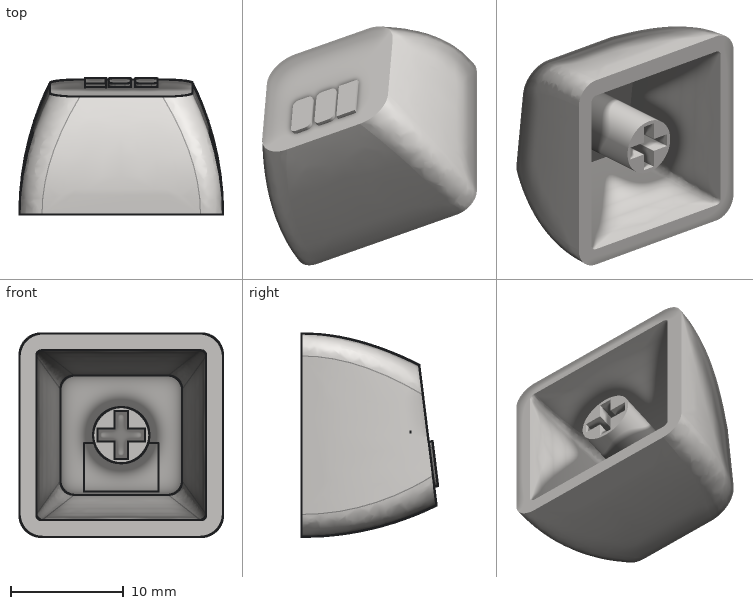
import cadquery as cq
import math

RIM_SIZE = 18.1
RIM_CORNER = 2.01
FACE_WIDTH = 12.67
FACE_LENGTH = 12.56
FACE_CORNER = 2.66
FACE_HEIGHT = 11.24
FACE_TILT = 7.0
WALL = 1.5

MOUTH_SIZE = RIM_SIZE - 2 * WALL
MOUTH_CORNER = RIM_CORNER - WALL
CEILING_WIDTH = 10.8
CEILING_LENGTH = 10.68
CEILING_CORNER = 1.23

STEM_DIAMETER = 5.0
STEM_RECESS = 1.0
CROSS_SPAN = 4.25
CROSS_WIDTH = 1.15
CROSS_DEPTH = 3.98

PLATE_WIDTH = 6.66
PLATE_LENGTH = 4.35
PLATE_CORNER = 0.09
PLATE_THICKNESS = WALL / 2
PLATE_OFFSET = 2.7
BLOCK_LENGTH = 4.02
BLOCK_RISE = 0.35
BLOCK_CORNER = 0.55
BLOCK_OFFSET = 2.59
BLOCKS = [
    (-2.3, 1.85, 0),
    (-0.13, 1.97, BLOCK_CORNER),
    (2.23, 2.0, BLOCK_CORNER),
]

SECTION_COUNT = 4

tilt = math.radians(FACE_TILT)
ceiling_height = FACE_HEIGHT - WALL / math.cos(tilt)


def tilted_plane(height, angle):
    """Plane that crosses the Y axis at a height, turned about X; its local Y points to -Z."""
    return cq.Plane(
        origin=(0, height, 0),
        xDir=(1, 0, 0),
        normal=(0, math.cos(angle), math.sin(angle)),
    )


def rounded_rectangle(width, length, corner):
    sketch = cq.Sketch().rect(width, length)
    if corner > 0:
        sketch = sketch.vertices().fillet(corner)
    return sketch


def domed_loft(height, start_size, start_corner, end_width, end_length, end_corner):
    """Solid with sides that start square to the rim and lean inwards along a parabola."""
    sections = []
    for index in range(SECTION_COUNT):
        rise = index / (SECTION_COUNT - 1)
        lean = rise**2
        section = rounded_rectangle(
            start_size + (end_width - start_size) * lean,
            start_size + (end_length - start_size) * lean,
            start_corner + (end_corner - start_corner) * lean,
        )
        plane = tilted_plane(height * rise, tilt * rise)
        sections.append(section.moved(cq.Location(plane)))
    return cq.Workplane().placeSketch(*sections).loft()


def make_stem():
    """Round stem that ends inside the roof, halfway between the ceiling and the face."""
    root_height = (ceiling_height + FACE_HEIGHT) / 2
    open_end = cq.Workplane(tilted_plane(STEM_RECESS, 0))
    stem = open_end.circle(STEM_DIAMETER / 2).extrude(root_height - STEM_RECESS)
    for width, length in ((CROSS_SPAN, CROSS_WIDTH), (CROSS_WIDTH, CROSS_SPAN)):
        stem = stem.cut(open_end.rect(width, length).extrude(CROSS_DEPTH))
    return stem


def make_legend():
    """Insert plate and its blocks, built outwards from the ceiling."""
    ceiling = cq.Workplane(tilted_plane(ceiling_height, tilt))
    face_shift = WALL * math.tan(tilt)
    plate = rounded_rectangle(PLATE_WIDTH, PLATE_LENGTH, PLATE_CORNER)
    legend = ceiling.center(0, face_shift + PLATE_OFFSET).placeSketch(plate).extrude(PLATE_THICKNESS)
    for middle, width, corner in BLOCKS:
        outline = rounded_rectangle(width, BLOCK_LENGTH, corner)
        spot = ceiling.center(middle, face_shift + BLOCK_OFFSET)
        legend = legend.union(spot.placeSketch(outline).extrude(WALL + BLOCK_RISE))
    return legend


def make_cap(insert):
    """Hollow cap with its stem and an opening that the legend insert fills."""
    outside = domed_loft(
        FACE_HEIGHT, RIM_SIZE, RIM_CORNER, FACE_WIDTH, FACE_LENGTH, FACE_CORNER
    )
    cavity = domed_loft(
        ceiling_height, MOUTH_SIZE, MOUTH_CORNER, CEILING_WIDTH, CEILING_LENGTH, CEILING_CORNER
    )
    return outside.cut(cavity).union(make_stem()).cut(insert)


legend = make_legend()
cap = make_cap(legend)

result = cq.Compound.makeCompound([cap.solids().val(), legend.solids().val()])